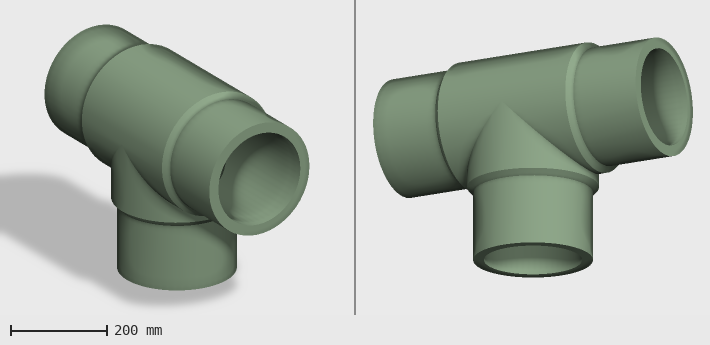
import cadquery as cq

run_length = 622.0
branch_reach = 310.0
pipe_diameter = 250.0
collar_diameter = 275.0
bore_diameter = 204.5
collar_reach = 163.5

bevel = (collar_diameter - pipe_diameter) / 2


def run_cylinder(diameter, length):
    """Cylinder along X, centred on the tee centre."""
    return cq.Workplane("YZ", origin=(-length / 2, 0, 0)).circle(diameter / 2).extrude(length)


def branch_cylinder(diameter, reach):
    """Cylinder from the tee centre down along -Z."""
    return cq.Workplane("XY").circle(diameter / 2).extrude(-reach)


run_collar = run_cylinder(collar_diameter, 2 * collar_reach).faces("<X or >X").chamfer(bevel)
branch_collar = branch_cylinder(collar_diameter, collar_reach).faces("<Z").chamfer(bevel)

run_pipe = run_cylinder(pipe_diameter, run_length)
branch_pipe = branch_cylinder(pipe_diameter, branch_reach)

run_bore = run_cylinder(bore_diameter, run_length)
branch_bore = branch_cylinder(bore_diameter, branch_reach)

outside = run_collar.union(branch_collar).union(run_pipe).union(branch_pipe)
result = outside.cut(run_bore).cut(branch_bore)